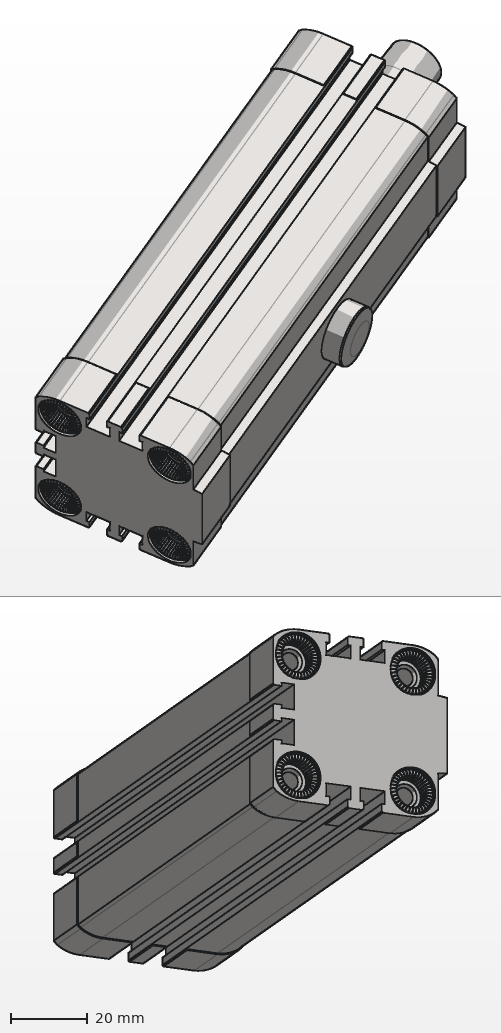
import cadquery as cq
import math

cap_size = 47.0
housing_length = 141.0
overall_length = 161.4
overall_width = 55.8
cap_length = 15.0
barrel_inset = 0.3

screw_offset = 16.3
corner_radius = 10.8
corner_chamfer = 1.0

slot_offset = 4.8
neck_width = 5.2
neck_depth = 2.5
slot_width = 7.0
slot_depth = 6.0
lip_chamfer = 0.3
slotted_sides = (90, 180, 270)

pad_height = 2.6
pad_root_width = 21.3
pad_top_width = 20.7

recess_diameter = 12.8
recess_depth = 4.8
collar_outer_diameter = 12.0
socket_diameter = 8.5
collar_drop = 1.0
tooth_count = 36
tooth_gap = 0.2
screw_hole_diameter = 4.8
countersink_diameter = 6.5

rod_diameter = 16.0
rod_tip_diameter = 15.2
rod_tip_length = 10.0
flat_spacing = 13.0
flat_length = 6.5
flat_center = 14.5
flat_angle = 30.0

plug_diameter = 17.0
plug_tip_diameter = 10.0
plug_tip_length = 0.8
plug_rim_diameter = 16.6
plug_rim_length = 0.5
plug_y = 73.0


def prism(section, y_start, y_end):
    """Extrude a closed XZ section between two Y positions."""
    return section.extrude(y_start - y_end).translate((0, y_start, 0))


def rounded_section(half, chamfer):
    """Square section whose corners are arcs tangent to the top and bottom, ending in a small chamfer."""
    center_z = half - corner_radius
    arc_end_x = half - chamfer
    arc_angle = math.asin((arc_end_x - screw_offset) / corner_radius)
    arc_end_z = center_z + corner_radius * math.cos(arc_angle)
    arc_mid_x = screw_offset + corner_radius * math.sin(arc_angle / 2)
    arc_mid_z = center_z + corner_radius * math.cos(arc_angle / 2)
    return (
        cq.Workplane("XZ")
        .moveTo(-screw_offset, half)
        .lineTo(screw_offset, half)
        .threePointArc((arc_mid_x, arc_mid_z), (arc_end_x, arc_end_z))
        .lineTo(half, arc_end_z - chamfer)
        .lineTo(half, chamfer - arc_end_z)
        .lineTo(arc_end_x, -arc_end_z)
        .threePointArc((arc_mid_x, -arc_mid_z), (screw_offset, -half))
        .lineTo(-screw_offset, -half)
        .threePointArc((-arc_mid_x, -arc_mid_z), (-arc_end_x, -arc_end_z))
        .lineTo(-half, chamfer - arc_end_z)
        .lineTo(-half, arc_end_z - chamfer)
        .lineTo(-arc_end_x, arc_end_z)
        .threePointArc((-arc_mid_x, arc_mid_z), (-screw_offset, half))
        .close()
    )


def pad(base, y_start, y_end):
    """Trapezoidal pad whose root lies at X = base."""
    top = base + pad_height
    section = (
        cq.Workplane("XZ")
        .polyline(
            [
                (0, -pad_root_width / 2),
                (base, -pad_root_width / 2),
                (top, -pad_top_width / 2),
                (top, pad_top_width / 2),
                (base, pad_root_width / 2),
                (0, pad_root_width / 2),
            ]
        )
        .close()
    )
    return prism(section, y_start, y_end)


def segment(inset, y_start, y_end):
    """Length of housing with its pad, drawn in by the inset on every side."""
    half = cap_size / 2 - inset
    chamfer = corner_chamfer - inset
    body = prism(rounded_section(half, chamfer), y_start, y_end)
    return body.union(pad(half, y_start, y_end))


def t_slot(side_angle, offset):
    """T-slot cutter on the +X side, turned about the housing axis to its side."""
    half = cap_size / 2
    neck = cq.Workplane("XY").box(slot_depth, housing_length, neck_width, centered=(False, False, True))
    wide = cq.Workplane("XY").box(
        slot_depth - neck_depth, housing_length, slot_width, centered=(False, False, True)
    )
    lip = (
        cq.Workplane("XZ")
        .polyline(
            [
                (slot_depth, -neck_width / 2 - lip_chamfer),
                (slot_depth, neck_width / 2 + lip_chamfer),
                (slot_depth - lip_chamfer, neck_width / 2),
                (slot_depth - lip_chamfer, -neck_width / 2),
            ]
        )
        .close()
    )
    slot = neck.union(wide).union(prism(lip, 0, housing_length)).translate((half - slot_depth, 0, offset))
    return slot.rotate((0, 0, 0), (0, 1, 0), side_angle)


def screw_seat():
    """Cutter for one corner: through hole, countersink and a recess holding a toothed collar."""
    r_hole = screw_hole_diameter / 2
    r_sink = countersink_diameter / 2
    r_socket = socket_diameter / 2
    r_collar = collar_outer_diameter / 2
    r_recess = recess_diameter / 2
    crest_drop = collar_drop - (r_collar - r_socket) / 2
    seat = (
        cq.Workplane("XY")
        .lineTo(r_recess, 0)
        .lineTo(r_recess, collar_drop)
        .lineTo(r_collar, collar_drop)
        .threePointArc(((r_socket + r_collar) / 2, crest_drop), (r_socket, collar_drop))
        .lineTo(r_socket, recess_depth)
        .lineTo(r_sink, recess_depth)
        .lineTo(r_hole, recess_depth + r_sink - r_hole)
        .lineTo(r_hole, housing_length)
        .lineTo(0, housing_length)
        .close()
        .revolve(360, (0, 0), (0, 1))
    )
    gap = (
        cq.Workplane("XY")
        .box(r_collar - r_sink, recess_depth, tooth_gap, centered=(False, False, True))
        .translate((r_sink, 0, 0))
        .val()
    )
    tooth_pitch = 360 / tooth_count
    gaps = [gap.rotate(cq.Vector(), cq.Vector(0, 1, 0), i * tooth_pitch) for i in range(tooth_count)]
    return seat.val().fuse(*gaps)


def make_housing():
    """End caps and barrel in one piece, with T-slots and corner screw seats."""
    rear_cap_start = housing_length - cap_length
    body = segment(0, 0, cap_length)
    body = body.union(segment(barrel_inset, cap_length, rear_cap_start))
    body = body.union(segment(0, rear_cap_start, housing_length))
    for side_angle in slotted_sides:
        for offset in (-slot_offset, slot_offset):
            body = body.cut(t_slot(side_angle, offset))
    seat = screw_seat()
    for x in (-screw_offset, screw_offset):
        for z in (-screw_offset, screw_offset):
            body = body.cut(cq.Workplane(seat.translate(cq.Vector(x, 0, z))))
    return body


def make_rod():
    """Piston rod with a slightly tapered tip and two opposite wrench flats."""
    r = rod_diameter / 2
    shoulder = overall_length - rod_tip_length
    rod = (
        cq.Workplane("XY")
        .polyline(
            [
                (0, housing_length),
                (r, housing_length),
                (r, shoulder),
                (rod_tip_diameter / 2, overall_length),
                (0, overall_length),
            ]
        )
        .close()
        .revolve(360, (0, 0), (0, 1))
    )
    flat_x = flat_spacing / 2
    depth = r - flat_x
    y = overall_length - flat_center
    half_length = flat_length / 2
    notch = (
        cq.Workplane("XY")
        .polyline(
            [
                (flat_x, y - half_length),
                (flat_x, y + half_length),
                (r, y + half_length + depth),
                (r, y - half_length - depth),
            ]
        )
        .close()
        .extrude(r, both=True)
    )
    for angle in (-flat_angle, 180 - flat_angle):
        rod = rod.cut(notch.rotate((0, 0, 0), (0, 1, 0), angle))
    return rod


def make_plug():
    """Round plug standing on the pad, with a stepped conical tip."""
    tip_x = overall_width - cap_size / 2
    base_x = cap_size / 2 + pad_height - barrel_inset
    r = plug_diameter / 2
    return (
        cq.Workplane("XY")
        .polyline(
            [
                (base_x, 0),
                (base_x, r),
                (tip_x - plug_tip_length - plug_rim_length, r),
                (tip_x - plug_tip_length, plug_rim_diameter / 2),
                (tip_x, plug_tip_diameter / 2),
                (tip_x, 0),
            ]
        )
        .close()
        .revolve(360, (0, 0), (1, 0))
        .translate((0, plug_y, 0))
    )


housing = make_housing()
rod = make_rod()
plug = make_plug()
result = cq.Compound.makeCompound([housing.val(), rod.val(), plug.val()])